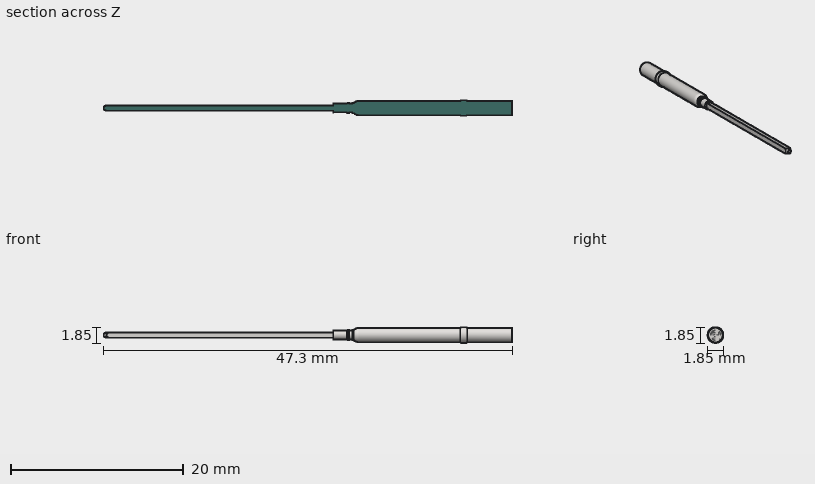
import cadquery as cq
import math

total_length = 47.29

post_side = 0.635
post_overlap = 0.5
tip_radius = 0.18
point_length = 0.62
point_base_radius = 0.46

sleeve_diameter = 1.07
sleeve_start = 26.55
bead_diameter = 1.22
bead_start = 28.14
bead_taper_length = 0.14
bead_end = 28.4

barrel_diameter = 1.68
collar_start = 28.75
shoulder_start = 28.92
shoulder_end = 29.24
shoulder_end_diameter = 1.58
corner_mid = 29.36
corner_mid_diameter = 1.65
corner_end = 29.5

ring_diameter = 1.85
ring_center = 41.67
ring_width = 0.8
ring_corner_radius = 0.2


def make_post():
    """Square post whose end is turned to a blunt cone."""
    post_length = sleeve_start + post_overlap
    square = cq.Workplane("YZ").rect(post_side, post_side).extrude(post_length)
    envelope = (
        cq.Workplane("XY")
        .moveTo(0, 0)
        .lineTo(0, tip_radius)
        .lineTo(point_length, point_base_radius)
        .lineTo(post_length, point_base_radius)
        .lineTo(post_length, 0)
        .close()
        .revolve(360, (0, 0, 0), (1, 0, 0))
    )
    return square.intersect(envelope)


def make_body():
    """Neck, barrel and press ring turned from one profile."""
    sleeve_radius = sleeve_diameter / 2
    bead_radius = bead_diameter / 2
    barrel_radius = barrel_diameter / 2
    ring_radius = ring_diameter / 2
    ring_height = ring_radius - barrel_radius
    corner_reach = math.sqrt(ring_corner_radius**2 - (ring_corner_radius - ring_height) ** 2)
    ring_start = ring_center - ring_width / 2
    ring_end = ring_center + ring_width / 2
    profile = (
        cq.Workplane("XY")
        .moveTo(sleeve_start, 0)
        .lineTo(sleeve_start, sleeve_radius)
        .lineTo(bead_start, sleeve_radius)
        .lineTo(bead_start + bead_taper_length, bead_radius)
        .lineTo(bead_end, bead_radius)
        .lineTo(bead_end, sleeve_radius)
        .lineTo(collar_start, sleeve_radius)
        .lineTo(collar_start, bead_radius)
        .lineTo(shoulder_start, bead_radius)
        .lineTo(shoulder_end, shoulder_end_diameter / 2)
        .threePointArc((corner_mid, corner_mid_diameter / 2), (corner_end, barrel_radius))
        .lineTo(ring_start, barrel_radius)
        .radiusArc((ring_start + corner_reach, ring_radius), ring_corner_radius)
        .lineTo(ring_end - corner_reach, ring_radius)
        .radiusArc((ring_end, barrel_radius), ring_corner_radius)
        .lineTo(total_length, barrel_radius)
        .lineTo(total_length, 0)
        .close()
    )
    return profile.revolve(360, (0, 0, 0), (1, 0, 0))


result = make_body().union(make_post())